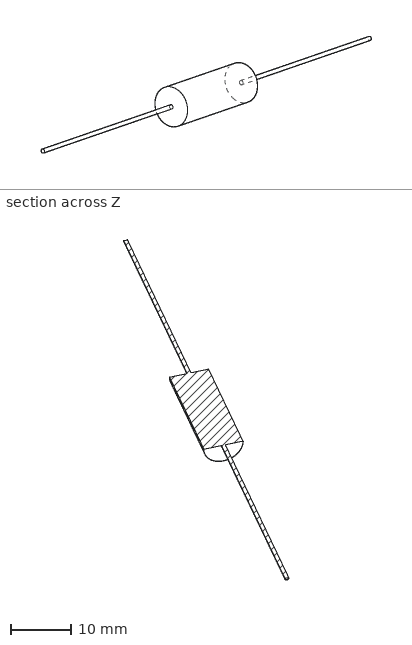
import cadquery as cq

overall_length = 88.9
body_diameter = 6.86
body_length = 19.05
lead_diameter = 0.7366

lead_tip = overall_length / 2
body_end = body_length / 2
lead_radius = lead_diameter / 2
body_radius = body_diameter / 2

half_section = (
    cq.Workplane("XY")
    .moveTo(0, -lead_tip)
    .lineTo(-lead_radius, -lead_tip)
    .lineTo(-lead_radius, -body_end)
    .lineTo(-body_radius, -body_end)
    .lineTo(-body_radius, body_end)
    .lineTo(-lead_radius, body_end)
    .lineTo(-lead_radius, lead_tip)
    .lineTo(0, lead_tip)
    .close()
)

result = half_section.revolve(360, (0, 0, 0), (0, 1, 0))